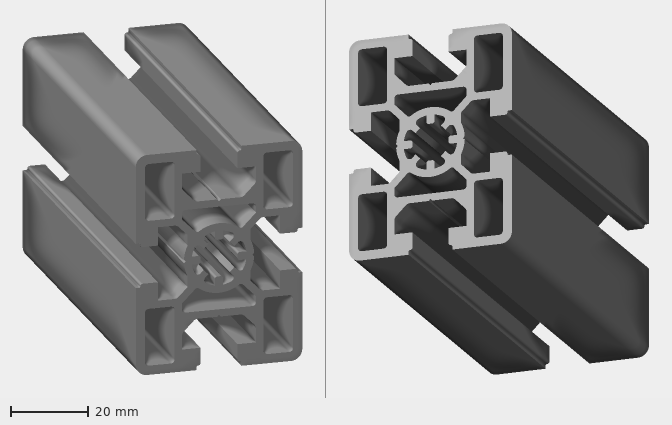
import cadquery as cq
import math

LENGTH = 100.0
WIDTH = 45.0
HEIGHT = 60.0
CORNER_RADIUS = 3.0

MOUTH_HALF = 5.0
STEP_HALF = 6.05
STEP_DEPTH = 1.25
STEP_RADIUS = 0.4
LIP_RADIUS = 0.6
LIP_DEPTH = 6.0
SLOT_HALF = 10.0
SLOT_DEPTH = 14.0
BEND_RADIUS = 1.5
END_SLOT_CHAMFER = 3.6

WEB = 2.0
OUTER_WALL = 2.5
POCKET_RADIUS = 1.0
CAVITY_TOP_RADIUS = 1.0
CAVITY_ROOT_RADIUS = 0.75

HUB_RADIUS = 9.5
BORE_RADIUS = 5.0
GULLET_RADIUS = 7.45
AXIAL_TOOTH_WIDTH = 2.2
AXIAL_TIP_RADIUS = 0.6
DIAGONAL_TOOTH_WIDTH = 1.8
DIAGONAL_ROOT_RADIUS = 1.0

GROOVE_HALF = 0.5
GROOVE_DEPTH = 0.5

RIB_OFFSET = WEB / math.sqrt(2)
SIDE_SLOT_FLOOR = WIDTH / 2 - SLOT_DEPTH
END_SLOT_FLOOR = HEIGHT / 2 - SLOT_DEPTH
SIDE_SLOT_CHAMFER = SLOT_HALF + RIB_OFFSET - SIDE_SLOT_FLOOR


def prism(points):
    """Polygon in YZ extruded over the whole length."""
    return cq.Workplane("YZ").polyline(points).close().extrude(LENGTH / 2, both=True)


def bar(width, height, y=0.0, z=0.0):
    """Rectangular bar along X centred at (y, z)."""
    return cq.Workplane("XY").box(LENGTH, width, height).translate((0, y, z))


def rod(radius):
    return cq.Workplane("YZ").circle(radius).extrude(LENGTH / 2, both=True)


def fillet_edges(body, points, radius):
    """Round the lengthwise edges that pass through the given (y, z) points."""
    for y, z in points:
        body = body.edges(cq.selectors.NearestToPointSelector((0, y, z))).fillet(radius)
    return body


def four_quadrants(y, z):
    return [(side * y, end * z) for side in (-1, 1) for end in (-1, 1)]


def turned(body, angle):
    return body.rotate((0, 0, 0), (1, 0, 0), angle)


def slot_void(face, chamfer):
    """T-slot opening upwards at z = face, with chamfered floor corners."""
    floor = face - SLOT_DEPTH
    half = [
        (STEP_HALF, face),
        (STEP_HALF, face - STEP_DEPTH),
        (MOUTH_HALF, face - STEP_DEPTH),
        (MOUTH_HALF, face - LIP_DEPTH),
        (SLOT_HALF, face - LIP_DEPTH),
        (SLOT_HALF, floor + chamfer),
        (SLOT_HALF - chamfer, floor),
    ]
    void = prism(half + [(-y, z) for y, z in reversed(half)])
    for side in (-1, 1):
        void = fillet_edges(void, [(side * MOUTH_HALF, face - STEP_DEPTH)], LIP_RADIUS)
        void = fillet_edges(void, [(side * STEP_HALF, face - STEP_DEPTH)], STEP_RADIUS)
        void = fillet_edges(void, [(side * SLOT_HALF, floor + chamfer)], BEND_RADIUS)
    return void


def floor_groove(floor):
    return prism([(-GROOVE_HALF, floor), (GROOVE_HALF, floor), (0, floor - GROOVE_DEPTH)])


def end_slot():
    """Slot in the Z faces, with its inner floor corners rounded."""
    void = slot_void(HEIGHT / 2, END_SLOT_CHAMFER)
    corner = SLOT_HALF - END_SLOT_CHAMFER
    void = fillet_edges(void, [(-corner, END_SLOT_FLOOR), (corner, END_SLOT_FLOOR)], BEND_RADIUS)
    return void.union(floor_groove(END_SLOT_FLOOR))


def side_slot():
    """Slot in the Y faces; the round hub bulges through its floor."""
    void = slot_void(WIDTH / 2, SIDE_SLOT_CHAMFER)
    return void.cut(rod(HUB_RADIUS)).union(floor_groove(HUB_RADIUS))


def inner_cavity():
    """Closed cavity between the end-slot floor, two diagonal ribs and the hub."""
    top = END_SLOT_FLOOR - WEB
    void = prism([
        (-SLOT_HALF, top),
        (SLOT_HALF, top),
        (SLOT_HALF, SLOT_HALF + RIB_OFFSET),
        (0, RIB_OFFSET),
        (-SLOT_HALF, SLOT_HALF + RIB_OFFSET),
    ]).cut(rod(HUB_RADIUS))
    root_y = (math.sqrt(2 * HUB_RADIUS**2 - RIB_OFFSET**2) - RIB_OFFSET) / 2
    root_z = root_y + RIB_OFFSET
    void = fillet_edges(void, [(-SLOT_HALF, top), (SLOT_HALF, top)], CAVITY_TOP_RADIUS)
    return fillet_edges(void, [(-root_y, root_z), (root_y, root_z)], CAVITY_ROOT_RADIUS)


def corner_pocket(side, end):
    """Rectangular hollow in one corner of the profile."""
    inner = SLOT_HALF + WEB
    outer_y = WIDTH / 2 - OUTER_WALL
    outer_z = HEIGHT / 2 - OUTER_WALL
    centre_y = side * (outer_y + inner) / 2
    centre_z = end * (outer_z + inner) / 2
    pocket = bar(outer_y - inner, outer_z - inner, centre_y, centre_z)
    return pocket.edges("|X").fillet(POCKET_RADIUS)


def toothed_bore():
    """Bore with four axial and four diagonal teeth pointing at the centre."""
    void = rod(GULLET_RADIUS)
    for angle in (45, 135):
        void = void.cut(turned(bar(DIAGONAL_TOOTH_WIDTH, 2 * HUB_RADIUS), angle))
    tooth_angle = math.asin(DIAGONAL_TOOTH_WIDTH / 2 / GULLET_RADIUS)
    near = GULLET_RADIUS * math.cos(math.pi / 4 + tooth_angle)
    far = GULLET_RADIUS * math.sin(math.pi / 4 + tooth_angle)
    roots = four_quadrants(near, far) + four_quadrants(far, near)
    void = fillet_edges(void, roots, DIAGONAL_ROOT_RADIUS)
    void = void.union(rod(BORE_RADIUS))

    tooth = bar(AXIAL_TOOTH_WIDTH, HUB_RADIUS - BORE_RADIUS, 0, (HUB_RADIUS + BORE_RADIUS) / 2)
    tooth = tooth.edges("|X and <Z").fillet(AXIAL_TIP_RADIUS)
    for angle in (0, 90, 180, 270):
        void = void.cut(turned(tooth, angle))
    return void


profile = bar(WIDTH, HEIGHT).edges("|X").fillet(CORNER_RADIUS)
for half_turn in (0, 180):
    profile = profile.cut(turned(end_slot(), half_turn))
    profile = profile.cut(turned(side_slot(), half_turn + 90))
    profile = profile.cut(turned(inner_cavity(), half_turn))
for side, end in four_quadrants(1, 1):
    profile = profile.cut(corner_pocket(side, end))
result = profile.cut(toothed_bore())